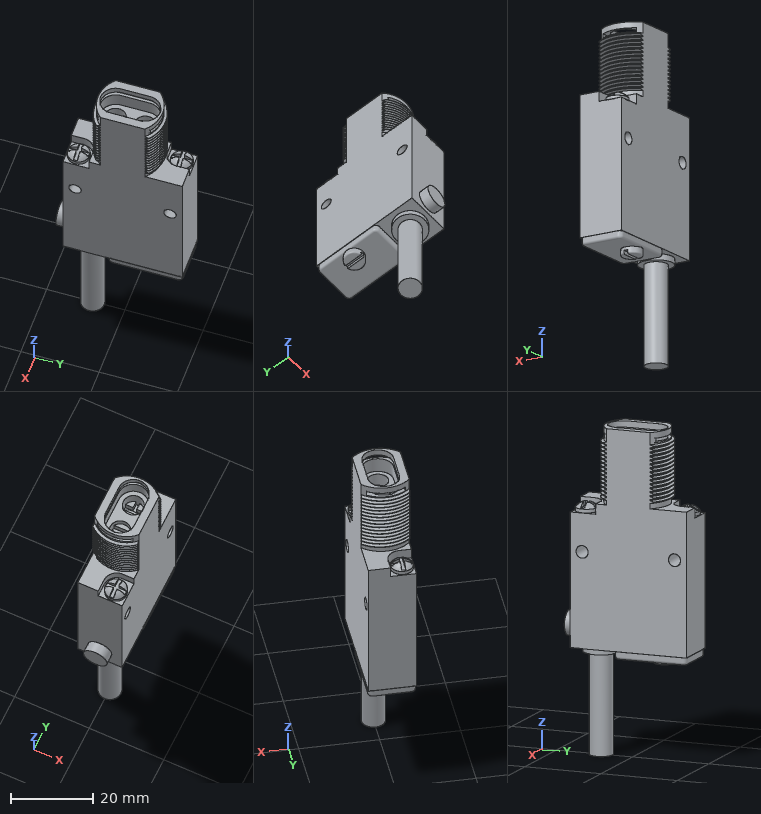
import cadquery as cq
import math


total_height = 82.5
width = 12.0

body_depth = 30.5
body_bottom = 27.2
body_top = 63.55
cross_hole_dia = 3.1
cross_hole_y = 12.1
cross_hole_z = 51.3

barrel_radius = 8.25
thread_radius = 9.0
thread_pitch = 1.0
thread_turns = 14.75
thread_start_z = 64.8
thread_start_angle = 240
thread_root_width = 0.9
thread_crest_width = 0.2
thread_overlap = 0.2
barrel_embed = 0.8
window_width = 9.6
window_bottom = 79.9
window_height = 1.1

cavity_length = 15.2
cavity_width = 7.8
cavity_floor = 76.1
lens_hole_dia = 5.3
lens_hole_y = 3.8
lens_hole_depth = 4.95
lens_boss_radius = 3.8
lens_boss_height = 1.65
lens_bar_width = 4.8
lens_bar_height = 3.3
lens_ledge_height = 1.65
back_ledge_y = 4.6
front_ledge_y = -5.3
ledge_slot_width = 1.0

screw_x = 2.9
screw_y = 12.2
screw_radius = 2.8
screw_rim_height = 0.9
screw_dome_height = 1.5
screw_slot_width = 1.0
screw_slot_depth = 1.2
pocket_width = 6.4
pocket_length = 6.7
pocket_corner_radius = 3.4
pocket_depth = 2.6

cover_length = 19.0
cover_height = 2.0
cover_inset = 0.1
cover_corner_radius = 1.15
cover_edge_radius = 0.7
cover_screw_x = -2.9
cover_screw_y = 5.8
cover_screw_radius = 2.7
cover_screw_height = 1.8
cover_screw_edge_radius = 0.4
cover_slot_depth = 1.0

cable_y = -9.6
cable_dia = 5.95
collar_dia = 9.1
collar_height = 1.6
button_dia = 6.35
button_z = 32.1
button_length = 2.7


def make_box(size_x, size_y, bottom, top):
    """Box centred on the Z axis between two heights."""
    return cq.Workplane("XY").workplane(offset=bottom).rect(size_x, size_y).extrude(top - bottom)


def make_cylinder(x, y, radius, bottom, top):
    """Upright cylinder between two heights."""
    return cq.Workplane("XY").workplane(offset=bottom).center(x, y).circle(radius).extrude(top - bottom)


def make_body():
    body = make_box(width, body_depth, body_bottom, body_top)
    cross_holes = (
        cq.Workplane("YZ")
        .pushPoints([(side * cross_hole_y, cross_hole_z) for side in (-1, 1)])
        .circle(cross_hole_dia / 2)
        .extrude(width, both=True)
    )
    return body.cut(cross_holes)


def make_thread():
    """Right-handed helical ridge that overlaps the barrel slightly."""
    inner_radius = barrel_radius - thread_overlap
    half_root = thread_root_width / 2
    half_crest = thread_crest_width / 2
    helix = cq.Wire.makeHelix(thread_pitch, thread_pitch * thread_turns, inner_radius)
    ridge = (
        cq.Workplane("XZ")
        .polyline([
            (inner_radius, -half_root),
            (thread_radius, -half_crest),
            (thread_radius, half_crest),
            (inner_radius, half_root),
        ])
        .close()
        .sweep(cq.Workplane(helix), isFrenet=True)
    )
    return ridge.rotate((0, 0, 0), (0, 0, 1), thread_start_angle).translate((0, 0, thread_start_z))


def make_barrel():
    """Round barrel with a helical thread, trimmed to two flats at the housing width."""
    barrel_bottom = body_top - barrel_embed
    threaded = make_cylinder(0, 0, barrel_radius, barrel_bottom, total_height).union(make_thread())
    flats = make_box(width, 3 * thread_radius, barrel_bottom, total_height)
    window = make_box(window_width, 3 * thread_radius, window_bottom, window_bottom + window_height)
    return threaded.intersect(flats).cut(window)


def cut_lens_cavity(part):
    """Obround cavity with two lens holes in its floor, around a stepped central boss and two end ledges."""
    cavity = (
        cq.Workplane("XY")
        .workplane(offset=cavity_floor)
        .slot2D(cavity_length, cavity_width, 90)
        .extrude(total_height - cavity_floor)
    )
    hole_bottom = cavity_floor - lens_hole_depth
    lens_holes = (
        cq.Workplane("XY")
        .workplane(offset=hole_bottom)
        .pushPoints([(0, side * lens_hole_y) for side in (-1, 1)])
        .circle(lens_hole_dia / 2)
        .extrude(lens_hole_depth)
    )
    boss = make_cylinder(0, 0, lens_boss_radius, hole_bottom, hole_bottom + lens_boss_height)
    bar = make_box(width, lens_bar_width, hole_bottom, hole_bottom + lens_bar_height)
    ledge_top = hole_bottom + lens_ledge_height
    ledge_span = body_depth / 2
    ledge = make_box(width, ledge_span, hole_bottom, ledge_top)
    ledge_slot = make_box(ledge_slot_width, ledge_span, hole_bottom, ledge_top)
    back_ledge = ledge.cut(ledge_slot).translate((0, back_ledge_y + ledge_span / 2, 0))
    front_ledge = ledge.translate((0, front_ledge_y - ledge_span / 2, 0))
    for kept in (boss, bar, back_ledge, front_ledge):
        lens_holes = lens_holes.cut(kept)
    return part.cut(cavity).cut(lens_holes)


def make_corner_pocket():
    """Screw pocket in the -X, +Y top corner, rounded around the screw."""
    outer_x = -width / 2
    outer_y = body_depth / 2
    inner_x = outer_x + pocket_width
    inner_y = outer_y - pocket_length
    return (
        cq.Workplane("XY")
        .workplane(offset=body_top - pocket_depth)
        .moveTo(outer_x, outer_y)
        .lineTo(outer_x, inner_y)
        .lineTo(inner_x - pocket_corner_radius, inner_y)
        .radiusArc((inner_x, inner_y + pocket_corner_radius), -pocket_corner_radius)
        .lineTo(inner_x, outer_y)
        .close()
        .extrude(pocket_depth)
    )


def make_corner_screw():
    """Domed cross-slotted head standing on the pocket floor."""
    floor = body_top - pocket_depth
    rim = floor + screw_rim_height
    crown = rim + screw_dome_height
    dome_radius = (screw_radius**2 + screw_dome_height**2) / (2 * screw_dome_height)
    mid_angle = math.asin(screw_radius / dome_radius) / 2
    mid_point = (
        dome_radius * math.sin(mid_angle),
        crown - dome_radius * (1 - math.cos(mid_angle)),
    )
    head = (
        cq.Workplane("XZ")
        .moveTo(0, floor)
        .lineTo(screw_radius, floor)
        .lineTo(screw_radius, rim)
        .threePointArc(mid_point, (0, crown))
        .close()
        .revolve(360, (0, 0, 0), (0, 1, 0))
    )
    slot_floor = crown - screw_slot_depth
    for size_x, size_y in ((screw_slot_width, 2 * screw_radius), (2 * screw_radius, screw_slot_width)):
        head = head.cut(make_box(size_x, size_y, slot_floor, crown))
    return head.translate((-screw_x, screw_y, 0))


def add_corner_screws(part):
    """Two diagonally opposite screws, half a turn apart about the barrel axis."""
    pocket = make_corner_pocket()
    screw = make_corner_screw()
    for angle in (0, 180):
        part = part.cut(pocket.rotate((0, 0, 0), (0, 0, 1), angle))
        part = part.union(screw.rotate((0, 0, 0), (0, 0, 1), angle))
    return part


def make_cover():
    """Rounded bottom cover with its slotted screw head."""
    cover_bottom = body_bottom - cover_height
    cover_y = (body_depth - cover_length) / 2 - cover_inset
    cover = (
        make_box(width - 2 * cover_inset, cover_length, cover_bottom, body_bottom)
        .translate((0, cover_y, 0))
        .edges("|Z").fillet(cover_corner_radius)
        .faces("<Z").edges().fillet(cover_edge_radius)
    )
    screw_bottom = cover_bottom - cover_screw_height
    screw = (
        make_cylinder(0, 0, cover_screw_radius, screw_bottom, body_bottom)
        .faces("<Z").edges().fillet(cover_screw_edge_radius)
    )
    slot = make_box(screw_slot_width, 2 * cover_screw_radius, screw_bottom, screw_bottom + cover_slot_depth)
    return cover.union(screw.cut(slot).translate((cover_screw_x, cover_screw_y, 0)))


def make_cable():
    cable = make_cylinder(0, cable_y, cable_dia / 2, 0, body_bottom)
    collar = make_cylinder(0, cable_y, collar_dia / 2, body_bottom - collar_height, body_bottom)
    return cable.union(collar)


def make_button():
    """Round button on the -Y face."""
    return (
        cq.Workplane("XZ", origin=(0, -body_depth / 2, button_z))
        .circle(button_dia / 2)
        .extrude(button_length)
    )


result = make_body()
result = add_corner_screws(result)
result = result.union(make_cover()).union(make_cable()).union(make_button())
result = result.union(make_barrel())
result = cut_lens_cavity(result)